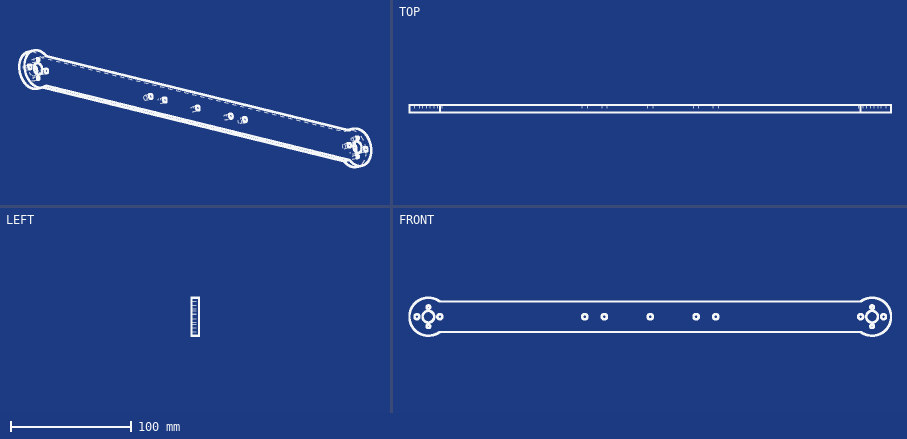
import cadquery as cq
import math

thickness = 6.35
end_radius = 15.875
end_spacing = 368.3
bar_width = 25.4

bore_diameter = 9.525
axial_hole_offset = 9.525
axial_hole_diameter = 3.97
cross_hole_offset = 7.9375
cross_hole_diameter = 2.8

bar_hole_diameter = 4.2
inner_hole_offset = 38.1
outer_hole_offset = 54.356

end_x = end_spacing / 2
bar_half_width = bar_width / 2
neck_offset = math.sqrt(end_radius**2 - bar_half_width**2)
neck_x = end_x - neck_offset


def link_body():
    """Straight bar with an enlarged round pad at each end, centered on the origin."""
    outline = (
        cq.Workplane("XZ", origin=(0, thickness / 2, 0))
        .moveTo(-neck_x, bar_half_width)
        .lineTo(neck_x, bar_half_width)
        .threePointArc((end_x + end_radius, 0), (neck_x, -bar_half_width))
        .lineTo(-neck_x, -bar_half_width)
        .threePointArc((-end_x - end_radius, 0), (-neck_x, bar_half_width))
        .close()
    )
    return outline.extrude(thickness)


def drill(body, centers, diameter):
    """Cut through holes along Y at the given (x, z) centers."""
    drills = (
        cq.Workplane("XZ", origin=(0, thickness / 2, 0))
        .pushPoints(centers)
        .circle(diameter / 2)
        .extrude(thickness)
    )
    return body.cut(drills)


def drill_end(body, center_x):
    """Cut the central bore and its four surrounding holes in one round end."""
    axial_centers = [(center_x + side * axial_hole_offset, 0) for side in (-1, 1)]
    cross_centers = [(center_x, side * cross_hole_offset) for side in (-1, 1)]
    body = drill(body, [(center_x, 0)], bore_diameter)
    body = drill(body, axial_centers, axial_hole_diameter)
    return drill(body, cross_centers, cross_hole_diameter)


result = link_body()
for end_center_x in (-end_x, end_x):
    result = drill_end(result, end_center_x)

bar_hole_positions = (-outer_hole_offset, -inner_hole_offset, 0, inner_hole_offset, outer_hole_offset)
result = drill(result, [(x, 0) for x in bar_hole_positions], bar_hole_diameter)